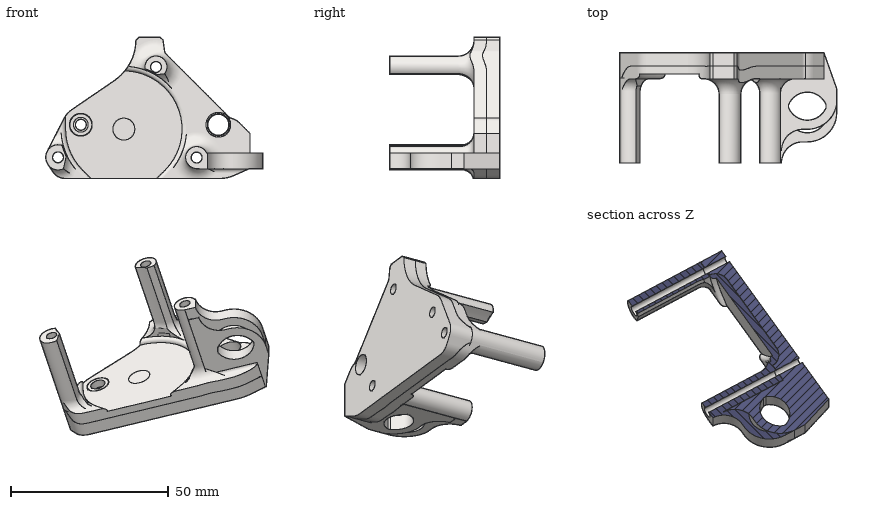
import cadquery as cq
import math


back_thickness = 4.3
layer_shift = 4.0
cover_face = layer_shift + back_thickness
bottom = -15.8
top = 29.25
total_depth = 35.1

seat_radius = 18.5
seat_floor = 6.85
seat_rim_round = 1.3
seat_ledge = 1.45
motor_clearance = 20.3
axle_diameter = 7.0

post_radius = 7.0 / 2
post_bore = 3.4
post_flat_offset = 2.5
left_post = dict(centre=(-20.95, -9.0), radius=4.0, flare=3.8, flat_angle=-13)
top_post = dict(centre=(10.2, 19.8), radius=post_radius, flare=5.0, flat_angle=-82)
lug_post = dict(centre=(23.15, -9.05), radius=post_radius, flare=4.5, flat_angle=None)
posts = [left_post, top_post, lug_post]

hole_height = 1.4
sleeve_centre = (-13.7, hole_height)
sleeve_diameter = 7.0
sleeve_clearance_diameter = 7.25
sleeve_bore = 4.7
screw_bore = 3.4
open_hole_centre = (30.1, hole_height)
open_hole_diameter = 6.65
open_hole_chamfer = 0.2
open_hole_cover_diameter = 7.9

lug_bottom = -12.65
lug_top = -7.6
ring_x = 34.85
ring_radius = 9.4
rear_ring = 15.0
front_ring = rear_ring + layer_shift
lug_bore_radius = 6.4
lug_bore_width = 11.9
wing_length = 11.5
web_radius = 6.7
lug_foot = 1.4

plate_right = 40.2

slab_depth = 0.7
edge_tolerance = 0.01

left_corner_radius = left_post["radius"] - 0.1

upper_edge_angle = 153
lower_edge_angle = 213.4


def left_edge_x(normal_angle, z):
    """X at height z on the line tangent to the left corner arc with the given outward normal."""
    angle = math.radians(normal_angle)
    centre_x, centre_z = left_post["centre"]
    return centre_x + (left_corner_radius - (z - centre_z) * math.sin(angle)) / math.cos(angle)


left_half_turn = math.radians(lower_edge_angle - upper_edge_angle) / 2
left_bisector = math.radians(lower_edge_angle + upper_edge_angle) / 2
left_corner_reach = left_corner_radius / math.cos(left_half_turn)
left_corner_x = left_post["centre"][0] + left_corner_reach * math.cos(left_bisector)
left_corner_z = left_post["centre"][1] + left_corner_reach * math.sin(left_bisector)
shoulder_z = 5.1

plate_corners = [
    (left_edge_x(lower_edge_angle, bottom), bottom, 4.9),
    (left_corner_x, left_corner_z, left_corner_radius),
    (left_edge_x(upper_edge_angle, shoulder_z), shoulder_z, 8.15),
    (3.8, 20.1, 15.55),
    (3.8, 28.3, 0),
    (4.85, top, 0),
    (11.55, top, 0),
    (12.5, 28.35, 0),
    (13.1, 24.3, 2.1),
    (33.75, 3.6, 2.1),
    (35.7, 3.1, 5.5),
    (plate_right, -1.4, 0),
    (plate_right, -12.5, 0),
    (32.9, bottom, 11.05),
]


def prism(profile, near, far):
    """Extrude a closed profile between two depths in front of the back."""
    return profile.extrude(far - near).translate((0, -near, 0))


def disc(centre, diameter, near, far):
    """Cylinder along Y between two depths."""
    return prism(cq.Workplane("XZ").center(*centre).circle(diameter / 2), near, far)


def rounded_outline(corners):
    """Closed outline through the corners, each replaced by a tangent arc of its radius."""
    outline = None
    count = len(corners)
    for i, (x, z, radius) in enumerate(corners):
        corner = cq.Vector(x, z)
        before = (cq.Vector(*corners[i - 1][:2]) - corner).normalized()
        after = (cq.Vector(*corners[(i + 1) % count][:2]) - corner).normalized()
        half_angle = before.getAngle(after) / 2
        setback = radius / math.tan(half_angle)
        start = corner + before * setback
        end = corner + after * setback
        middle = corner + (before + after).normalized() * (radius / math.sin(half_angle) - radius)
        if outline is None:
            outline = cq.Workplane("XZ").moveTo(start.x, start.y)
        else:
            outline = outline.lineTo(start.x, start.y)
        if radius:
            outline = outline.threePointArc((middle.x, middle.y), (end.x, end.y))
    return outline.close()


def envelope():
    """The space straight in front of the plate outline."""
    return prism(rounded_outline(plate_corners), 0, total_depth)


def post_section(post, near, far):
    """Post cut back around the motor, with the flat that ends the cut."""
    section = disc(post["centre"], 2 * post["radius"], near, far)
    section = section.cut(disc((0, 0), 2 * motor_clearance, near, far))
    if post["flat_angle"] is not None:
        size = 4 * post["radius"]
        flat_cut = cq.Workplane("XZ").center(post_flat_offset + size / 2, 0).rect(size, size)
        flat_cut = prism(flat_cut, near, far).rotate((0, 0, 0), (0, -1, 0), post["flat_angle"])
        centre_x, centre_z = post["centre"]
        section = section.cut(flat_cut.translate((centre_x, 0, centre_z)))
    return section


def flared_post(post, face, end):
    """Post standing on a plate face, with its base flaring out onto a slab below that face."""
    slab_size = 2 * post["radius"] + 4 * post["flare"]
    slab = cq.Workplane("XZ").center(*post["centre"]).rect(slab_size, slab_size)
    slab = prism(slab, face - slab_depth, face)
    blank = slab.union(post_section(post, face - slab_depth, end + post["flare"]))
    centre_x, centre_z = post["centre"]
    reach = post["radius"] + post["flare"]
    base_zone = cq.selectors.BoxSelector(
        (centre_x - reach, -face - edge_tolerance, centre_z - reach),
        (centre_x + reach, -face + edge_tolerance, centre_z + reach),
    )
    flared = blank.edges(base_zone).fillet(post["flare"])
    return flared.intersect(disc(post["centre"], 2 * slab_size, 0, end))


def flared_plate(back, face, post_ends):
    """Plate between two depths, with a flared post of the given end depth at each post place."""
    plate = prism(rounded_outline(plate_corners), back, face)
    for post, end in zip(posts, post_ends):
        plate = plate.union(flared_post(post, face, end).intersect(envelope()))
    return plate


def seat_outline():
    """Disc opened straight toward the upper left, with lower sides at 45 degrees tangent to it."""
    diagonal = seat_radius * math.sqrt(0.5)
    tip = seat_radius * math.sqrt(2)
    west = math.radians(202.5)
    return (
        cq.Workplane("XZ")
        .moveTo(-seat_radius, 0)
        .lineTo(-seat_radius, seat_radius)
        .lineTo(0, seat_radius)
        .threePointArc((seat_radius, 0), (diagonal, -diagonal))
        .lineTo(0, -tip)
        .lineTo(-diagonal, -diagonal)
        .threePointArc((seat_radius * math.cos(west), seat_radius * math.sin(west)), (-seat_radius, 0))
        .close()
    )


def seat_space():
    """Room for the motor: the seat with a rounded rim, wider in front of the cover face."""
    inner = prism(seat_outline(), seat_floor, total_depth)
    outer = prism(seat_outline().offset2D(seat_ledge, "intersection"), cover_face, total_depth)
    space = inner.union(outer)
    rim_edges = [
        edge
        for edge in space.edges().vals()
        if abs(edge.Center().y + cover_face) < edge_tolerance and edge.distance(inner.val()) < edge_tolerance
    ]
    return space.newObject(rim_edges).fillet(seat_rim_round)


def lug(setback):
    """Flat lug whose ring axis lies at the given depth."""
    ring_y = -setback
    back_y = rear_ring - setback
    web_x = lug_post["centre"][0] + lug_post["radius"]
    ring_front = ring_y - ring_radius
    diagonal = math.sqrt(0.5)
    web_end = ring_front - web_radius
    profile = (
        cq.Workplane("XY", origin=(0, 0, lug_bottom))
        .moveTo(lug_post["centre"][0], back_y)
        .lineTo(plate_right, back_y)
        .lineTo(ring_x + ring_radius, back_y - wing_length)
        .lineTo(ring_x + ring_radius, ring_y)
        .threePointArc(
            (ring_x + ring_radius * diagonal, ring_y - ring_radius * diagonal),
            (ring_x, ring_front),
        )
        .lineTo(web_x + web_radius, ring_front)
        .threePointArc(
            (web_x + web_radius * (1 - diagonal), web_end + web_radius * diagonal),
            (web_x, web_end),
        )
        .lineTo(lug_post["centre"][0], web_end)
        .close()
    )
    return profile.extrude(lug_top - lug_bottom)


def lug_bore(setback):
    """Round bore with two flat sides."""
    thickness = lug_top - lug_bottom
    base = cq.Workplane("XY", origin=(ring_x, -setback, lug_bottom))
    bore = base.circle(lug_bore_radius).extrude(thickness)
    flats = base.rect(lug_bore_width, 2 * lug_bore_radius).extrude(thickness)
    return bore.intersect(flats)


def lug_foot_strip():
    """Fillet between the underside of the lug and the cover face."""
    start_x = lug_post["centre"][0] + lug_post["radius"]
    strip = (
        cq.Workplane("YZ", origin=(start_x, 0, 0))
        .moveTo(-cover_face, lug_bottom)
        .lineTo(-cover_face - lug_foot, lug_bottom)
        .radiusArc((-cover_face, lug_bottom - lug_foot), lug_foot)
        .close()
        .extrude(plate_right - start_x)
    )
    return strip.intersect(envelope())


def open_hole():
    """Through hole on the right of the back plate, chamfered at its front rim."""
    hole = disc(open_hole_centre, open_hole_diameter, 0, back_thickness)
    rim_diameter = open_hole_diameter + 2 * open_hole_chamfer
    rim = (
        cq.Workplane("XZ", origin=(0, -back_thickness, 0))
        .center(*open_hole_centre)
        .circle(rim_diameter / 2)
        .extrude(-rim_diameter / 2, taper=45)
    )
    return hole.union(rim)


def cut_all(solid, tools):
    """Cut every tool from the solid."""
    for tool in tools:
        solid = solid.cut(tool)
    return solid


post_bores = [disc(post["centre"], post_bore, 0, total_depth) for post in posts]


def make_back_plate():
    """Back plate with post roots, sleeve and the rear lug, whose hole is where both lug bores overlap."""
    plate = flared_plate(0, back_thickness, [back_thickness + post["flare"] for post in posts])
    lug_hole = lug_bore(rear_ring).intersect(lug_bore(front_ring))
    root_end = back_thickness + lug_post["flare"]
    front_post = disc(lug_post["centre"], 2 * lug_post["radius"], root_end, total_depth)
    plate = plate.union(lug(rear_ring).cut(lug_hole).cut(front_post))
    plate = plate.union(disc(sleeve_centre, sleeve_diameter, 0, seat_floor))
    bores = [
        disc(sleeve_centre, screw_bore, 0, seat_floor),
        disc(sleeve_centre, sleeve_bore, back_thickness, seat_floor),
        open_hole(),
    ]
    return cut_all(plate, post_bores + bores)


def make_cover(back_plate):
    """Front plate with the posts, motor seat and front lug, fitted around the back plate."""
    cover = flared_plate(back_thickness, cover_face, [total_depth for post in posts])
    cover = cover.cut(seat_space())
    cover = cover.union(lug_foot_strip())
    cover = cover.union(lug(front_ring).cut(lug_bore(front_ring)).cut(lug_bore(rear_ring)))
    bores = [
        disc(sleeve_centre, sleeve_clearance_diameter, 0, cover_face),
        disc(open_hole_centre, open_hole_cover_diameter, 0, cover_face),
        disc((0, 0), axle_diameter, 0, cover_face),
    ]
    cover = cut_all(cover, post_bores + bores)
    return cover.cut(back_plate)


def make_axle():
    """Plain axle stub that fills its hole in the cover, flush with the seat floor."""
    return disc((0, 0), axle_diameter, back_thickness, seat_floor)


back_plate = make_back_plate()
cover = make_cover(back_plate)
axle = make_axle()

result = cq.Compound.makeCompound([*back_plate.vals(), *cover.vals(), *axle.vals()])